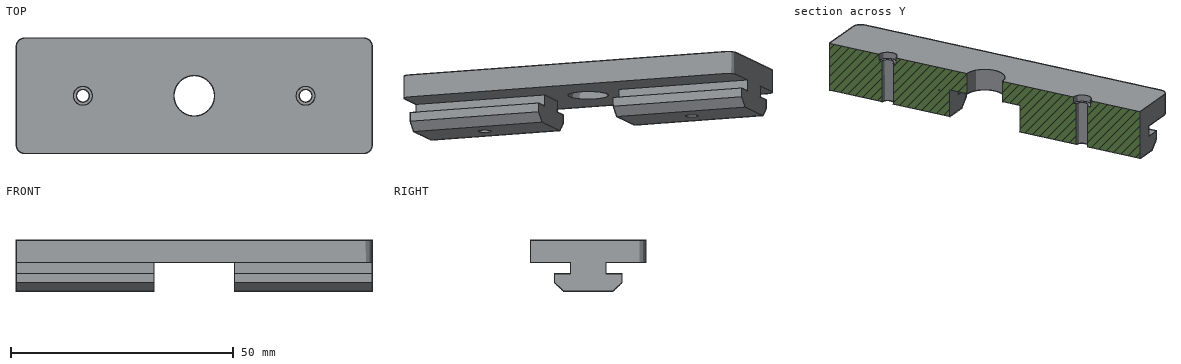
import cadquery as cq

length = 80.0
width = 26.0
total_height = 11.5
plate_thickness = 5.0
corner_radius = 2.0

neck_width = 8.0
neck_height = 2.5
foot_width = 15.2
foot_bottom_width = 11.0
foot_side_height = 2.0
rail_gap = 18.0

center_hole_diameter = 9.0
screw_spacing = 50.0
screw_hole_diameter = 2.8
counterbore_diameter = 4.2
counterbore_depth = 1.5

plate_bottom = total_height - plate_thickness
foot_top = plate_bottom - neck_height
foot_side_bottom = foot_top - foot_side_height


def make_plate():
    """Rectangular plate with rounded vertical corners."""
    return (
        cq.Workplane("XY", origin=(0, 0, plate_bottom))
        .rect(length, width)
        .extrude(plate_thickness)
        .edges("|Z")
        .fillet(corner_radius)
    )


def make_rail():
    """T-shaped rail along X, split into two equal lengths."""
    half_profile = [
        (0, 0),
        (foot_bottom_width / 2, 0),
        (foot_width / 2, foot_side_bottom),
        (foot_width / 2, foot_top),
        (neck_width / 2, foot_top),
        (neck_width / 2, plate_bottom),
        (0, plate_bottom),
    ]
    rail = (
        cq.Workplane("YZ")
        .polyline(half_profile)
        .mirrorY()
        .extrude(length / 2, both=True)
    )
    gap = cq.Workplane("XY").rect(rail_gap, width).extrude(plate_bottom)
    return rail.cut(gap)


def drill_holes(body):
    """Central through hole and two counterbored screw holes."""
    top = cq.Workplane("XY", origin=(0, 0, total_height))
    screw_points = [(-screw_spacing / 2, 0), (screw_spacing / 2, 0)]
    center_hole = top.circle(center_hole_diameter / 2).extrude(-total_height)
    screw_holes = top.pushPoints(screw_points).circle(screw_hole_diameter / 2).extrude(-total_height)
    counterbores = top.pushPoints(screw_points).circle(counterbore_diameter / 2).extrude(-counterbore_depth)
    return body.cut(center_hole).cut(screw_holes).cut(counterbores)


result = drill_holes(make_plate().union(make_rail()))